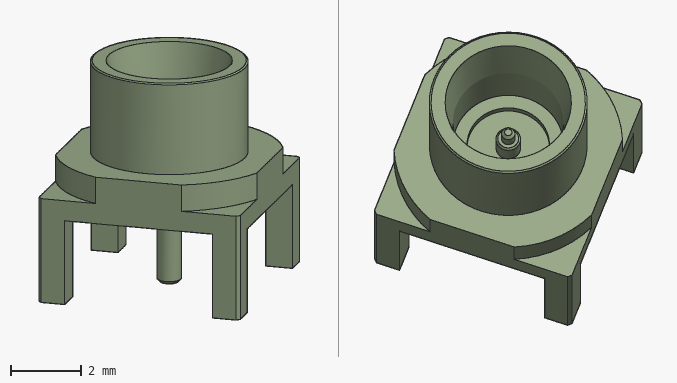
import cadquery as cq

total_height = 6.6
body_width = 6.0
corner_chamfer = 0.1
leg_width = 0.8
leg_height = 2.5

flange_bottom = 3.1
flange_top = 3.89
flange_diameter = 6.52

barrel_diameter = 4.5
rim_chamfer_width = 0.05
rim_chamfer_height = 0.03
entry_diameter = 3.6
bore_diameter = 3.15
taper_depth = 1.315
bore_floor = flange_top
recess_diameter = 2.35
recess_depth = 0.2

pin_diameter = 0.7
pin_chamfer = 0.1
shoulder_chamfer = 0.05
shoulder_height = 0.395
tip_diameter = 0.38
tip_end_diameter = 0.21
tip_taper_height = 0.085
tip_height = 0.79


def revolve_profile(points):
    """Solid of revolution about Z from (radius, height) points."""
    return cq.Workplane("XZ").polyline(points).close().revolve(360, (0, 0), (0, 1))


def cylinder(diameter, bottom, top):
    return cq.Workplane("XY").workplane(offset=bottom).circle(diameter / 2).extrude(top - bottom)


def square_block(bottom, top):
    return cq.Workplane("XY").workplane(offset=bottom).rect(body_width, body_width).extrude(top - bottom)


def make_body():
    """Square plate with the space between its four legs open on every side."""
    gap = body_width - 2 * leg_width
    plate = square_block(0, flange_bottom).edges("|Z").chamfer(corner_chamfer)
    gap_along_x = cq.Workplane("XY").box(body_width, gap, leg_height, centered=(True, True, False))
    gap_along_y = cq.Workplane("XY").box(gap, body_width, leg_height, centered=(True, True, False))
    return plate.cut(gap_along_x).cut(gap_along_y)


def make_flange():
    """Disc trimmed flush with the four sides of the body."""
    disc = cylinder(flange_diameter, flange_bottom, flange_top)
    return disc.intersect(square_block(flange_bottom, flange_top))


def make_barrel():
    """Upright cylinder with a fine bevel around its top rim."""
    radius = barrel_diameter / 2
    profile = [
        (0, flange_top),
        (radius, flange_top),
        (radius, total_height - rim_chamfer_height),
        (radius - rim_chamfer_width, total_height),
        (0, total_height),
    ]
    return revolve_profile(profile)


def make_socket():
    """Cavity of the barrel: tapered entry, straight bore and a shallow recess in the floor."""
    taper_bottom = total_height - taper_depth
    profile = [
        (0, bore_floor - recess_depth),
        (recess_diameter / 2, bore_floor - recess_depth),
        (recess_diameter / 2, bore_floor),
        (bore_diameter / 2, bore_floor),
        (bore_diameter / 2, taper_bottom),
        (entry_diameter / 2, total_height),
        (0, total_height),
    ]
    return revolve_profile(profile)


def make_pin():
    """Contact running from the leg feet up into the socket, with a slimmer pointed tip."""
    radius = pin_diameter / 2
    shoulder_top = bore_floor + shoulder_height
    tip_top = bore_floor + tip_height
    profile = [
        (0, 0),
        (radius - pin_chamfer, 0),
        (radius, pin_chamfer),
        (radius, shoulder_top - shoulder_chamfer),
        (radius - shoulder_chamfer, shoulder_top),
        (tip_diameter / 2, shoulder_top),
        (tip_diameter / 2, tip_top - tip_taper_height),
        (tip_end_diameter / 2, tip_top),
        (0, tip_top),
    ]
    return revolve_profile(profile)


housing = make_body().union(make_flange()).union(make_barrel())
result = housing.cut(make_socket()).union(make_pin())